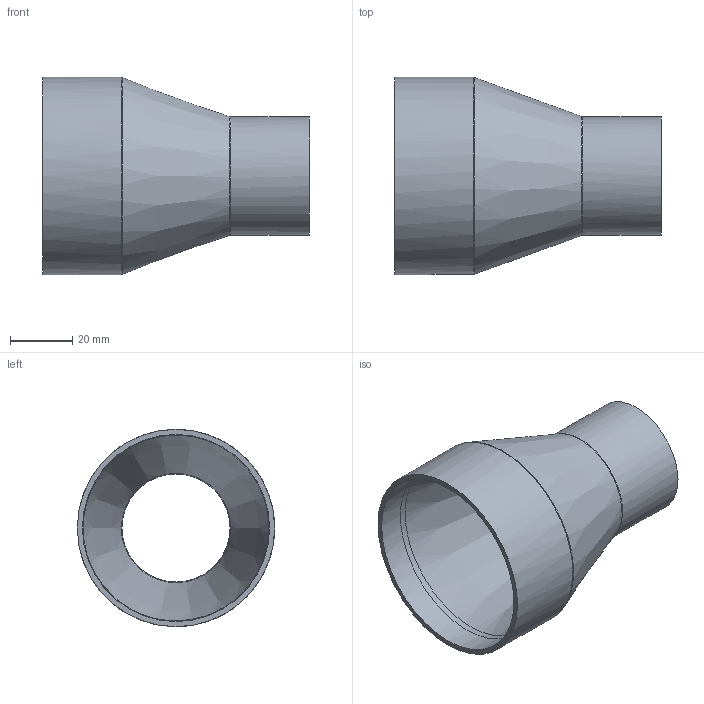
import cadquery as cq

large_diameter = 63.5
small_diameter = 38.1
wall = 1.65
tube_length = 25.4
cone_length = 34.925

cone_end = tube_length + cone_length
total_length = cone_end + tube_length

bore_cone_start = 9.525
bore_cone_length = 49.2
bore_cone_end = bore_cone_start + bore_cone_length

outer_blend_radius = 1.0
bore_blend_radius = 7.6


def blended_reducer(large_radius, small_radius, taper_start, taper_end, blend_radius):
    """Solid of revolution about X, rounded where the cone meets its two cylinders."""
    body = (
        cq.Workplane("XY")
        .lineTo(0, large_radius)
        .lineTo(taper_start, large_radius)
        .lineTo(taper_end, small_radius)
        .lineTo(total_length, small_radius)
        .lineTo(total_length, 0)
        .close()
        .revolve(360, (0, 0, 0), (1, 0, 0))
    )
    cone_circles = body.edges("%CIRCLE").edges("not(<X or >X)")
    return cone_circles.fillet(blend_radius)


outside = blended_reducer(
    large_diameter / 2,
    small_diameter / 2,
    tube_length,
    cone_end,
    outer_blend_radius,
)
bore = blended_reducer(
    large_diameter / 2 - wall,
    small_diameter / 2 - wall,
    bore_cone_start,
    bore_cone_end,
    bore_blend_radius,
)

result = outside.cut(bore)